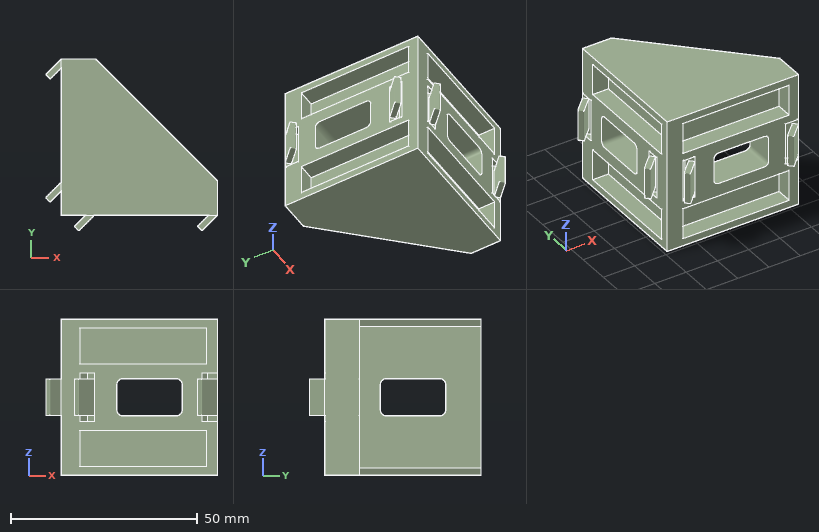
import cadquery as cq
import math

block = 42.0
wall = 9.3

end_plate = 2.0

pocket_length = 34.0
pocket_height = 9.7
pocket_depth = 5.05
pocket_edge_gap = 2.35
front_pocket_start = 5.05
side_pocket_start = 2.9

window_start = 15.0
window_length = 17.5
window_height = 9.85
window_radius = 1.48

tab_height = 9.85
tab_thickness = 1.75
tab_reach = 4.1
tip_radius = 0.25
notch_height = 13.05
near_tab_root = 8.95
near_notch_width = 3.87
far_tab_root = block
far_notch_width = 4.2
far_notch_depth = 2.7

mid_z = block / 2


def prism(points, height):
    """Upright prism over a plan outline, centred on mid height."""
    base = cq.Workplane("XY").workplane(offset=mid_z - height / 2)
    return base.polyline(points).close().extrude(height)


def on_both_faces(shape):
    """The shape of the -Y face together with its twin on the -X face."""
    return shape.union(shape.mirror((1, -1, 0)))


def pocket(start):
    """Upper and lower pocket of the -Y face."""
    lower = cq.Workplane("XY").box(pocket_length, pocket_depth, pocket_height, centered=False)
    lower = lower.translate((start, 0, pocket_edge_gap))
    return lower.union(lower.translate((0, 0, block - 2 * pocket_edge_gap - pocket_height)))


def window():
    """Rounded opening from the -Y face through the wall into the hollow."""
    opening = cq.Workplane("XY").box(window_length, wall, window_height, centered=False)
    opening = opening.edges("|Y").fillet(window_radius)
    return opening.translate((window_start, 0, mid_z - window_height / 2))


def notch(root, width, depth):
    """Notch in the -Y face whose walls slope at 45 degrees to meet; the right one carries the tab."""
    left = root - width
    straight = 2 * depth - width
    outline = [(left, 0), (root, 0), (root - depth, depth)]
    if straight > 0:
        outline.append((left, straight))
    return prism(outline, notch_height)


def tab(root):
    """Tab leaning out of the -Y face at 45 degrees, its outer side starting at root."""
    across = tab_thickness / math.sqrt(2)
    sharp_reach = tab_reach + tip_radius * (math.sqrt(2) - 1)
    outline = [
        (root, 0),
        (root - sharp_reach, -sharp_reach),
        (root - sharp_reach - across, across - sharp_reach),
        (root - across, across),
    ]
    return prism(outline, tab_height).faces("<(1,1,0)").edges().fillet(tip_radius)


body = (
    cq.Workplane("XY")
    .polyline([(0, 0), (block, 0), (block, wall), (wall, block), (0, block)])
    .close()
    .extrude(block)
)

hollow_side = block - wall
hollow = cq.Workplane("XY").box(hollow_side, hollow_side, block - 2 * end_plate, centered=False)
body = body.cut(hollow.translate((wall, wall, end_plate)))

body = body.cut(pocket(front_pocket_start))
body = body.cut(pocket(side_pocket_start).mirror((1, -1, 0)))
body = body.cut(on_both_faces(window()))

near_notch = notch(near_tab_root, near_notch_width, near_notch_width / 2)
far_notch = notch(far_tab_root, far_notch_width, far_notch_depth)
body = body.cut(on_both_faces(near_notch)).cut(on_both_faces(far_notch))

for tab_root in (near_tab_root, far_tab_root):
    body = body.union(on_both_faces(tab(tab_root)))

result = body